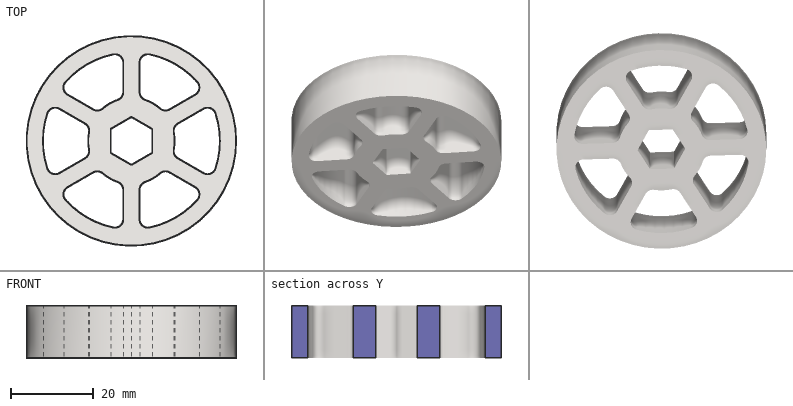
import cadquery as cq
import math

WHEEL_DIAMETER = 50.8
WHEEL_WIDTH = 12.7
RIM_THICKNESS = 4.0
HUB_RADIUS = 10.5

SPOKE_COUNT = 6
SPOKE_WIDTH = 4.0
WINDOW_CORNER_RADIUS = 2.0

HEX_ACROSS_FLATS = 10.0
HEX_SIDES = 6
HEX_HALF_SIDE_ANGLE = 180 / HEX_SIDES

RIM_INNER_RADIUS = WHEEL_DIAMETER / 2 - RIM_THICKNESS
SPOKE_PITCH = 360 / SPOKE_COUNT


def point_beside_spoke(radius, side):
    """Point where the spoke flank meets a circle; side is +1 above or -1 below the X axis."""
    angle = math.radians(SPOKE_PITCH / 2) - math.asin(SPOKE_WIDTH / 2 / radius)
    return radius * math.cos(angle), side * radius * math.sin(angle)


def make_window():
    """Cutter for one rounded window, centred on the +X axis."""
    return (
        cq.Workplane("XY")
        .moveTo(*point_beside_spoke(HUB_RADIUS, -1))
        .lineTo(*point_beside_spoke(RIM_INNER_RADIUS, -1))
        .threePointArc((RIM_INNER_RADIUS, 0), point_beside_spoke(RIM_INNER_RADIUS, 1))
        .lineTo(*point_beside_spoke(HUB_RADIUS, 1))
        .threePointArc((HUB_RADIUS, 0), point_beside_spoke(HUB_RADIUS, -1))
        .close()
        .extrude(WHEEL_WIDTH)
        .edges("|Z")
        .fillet(WINDOW_CORNER_RADIUS)
    )


def make_hex_bore():
    """Cutter for the hexagonal bore, turned so that two flats face +X and -X."""
    across_corners = HEX_ACROSS_FLATS / math.cos(math.radians(HEX_HALF_SIDE_ANGLE))
    bore = cq.Workplane("XY").polygon(HEX_SIDES, across_corners).extrude(WHEEL_WIDTH)
    return bore.rotate((0, 0, 0), (0, 0, 1), HEX_HALF_SIDE_ANGLE)


def make_wheel():
    """Solid disc with the bore and all windows cut through it."""
    wheel = cq.Workplane("XY").circle(WHEEL_DIAMETER / 2).extrude(WHEEL_WIDTH)
    wheel = wheel.cut(make_hex_bore())
    window = make_window()
    for index in range(SPOKE_COUNT):
        wheel = wheel.cut(window.rotate((0, 0, 0), (0, 0, 1), index * SPOKE_PITCH))
    return wheel


result = make_wheel()